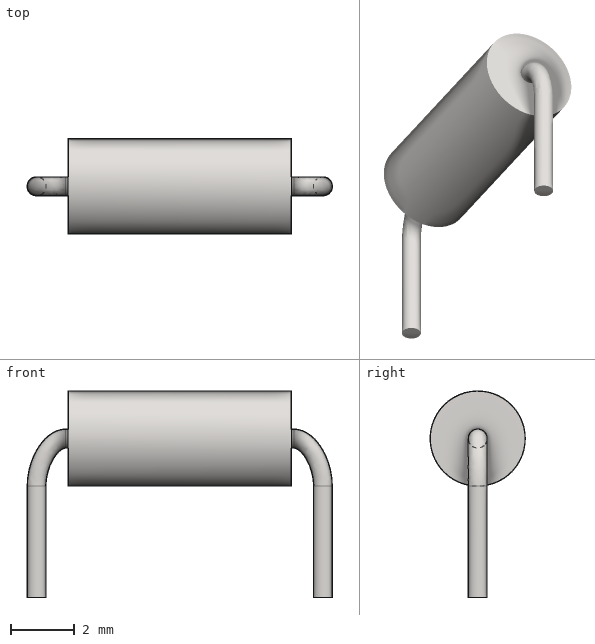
import cadquery as cq

overall_length = 9.6
body_diameter = 3.0
body_length = 7.02
lead_diameter = 0.6
leg_length = 3.5
stub_length = 0.08
bend_handle = 0.5

body_radius = body_diameter / 2
lead_radius = lead_diameter / 2
body_end_x = body_length / 2
leg_x = overall_length / 2 - lead_radius
bend_start_x = body_end_x + stub_length
bend_width = leg_x - bend_start_x
bend_height = body_radius


def make_body():
    """Cylinder lying along X."""
    return (
        cq.Workplane("YZ", origin=(-body_end_x, 0, body_radius))
        .circle(body_radius)
        .extrude(body_length)
    )


def make_lead():
    """Round lead that leaves the +X end and bends down through a smooth curve."""
    stub = (
        cq.Workplane("YZ", origin=(0, 0, body_radius))
        .circle(lead_radius)
        .extrude(bend_start_x)
    )
    bend_path = (
        cq.Workplane("XZ", origin=(bend_start_x, 0, 0))
        .bezier(
            [
                (bend_width, 0),
                (bend_width, bend_handle * bend_height),
                (bend_handle * bend_width, bend_height),
                (0, bend_height),
            ]
        )
    )
    leg_top = cq.Workplane("XY", origin=(leg_x, 0, 0)).circle(lead_radius)
    bend = leg_top.sweep(bend_path)
    leg = (
        cq.Workplane("XY", origin=(leg_x, 0, -leg_length))
        .circle(lead_radius)
        .extrude(leg_length)
    )
    return stub.union(bend).union(leg)


lead = make_lead()
result = make_body().union(lead).union(lead.mirror("YZ"))